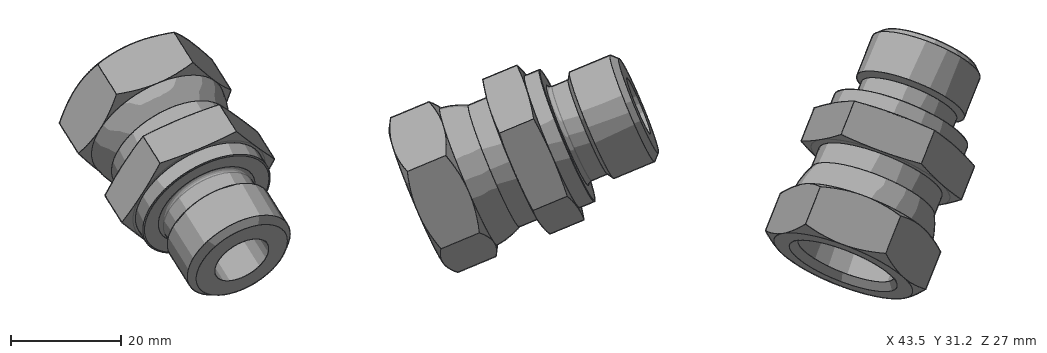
import cadquery as cq
import math


across_flats = 27.0
flat_radius = across_flats / 2
corner_radius = flat_radius / math.cos(math.radians(30))

nut_hex_length = 10.0
nut_shoulder_length = 5.0
nut_tail_radius = 12.0
nut_shoulder_arc_radius = 15.0
nut_corner_chamfer_angle = 30.0
nut_bore_radius = 9.35
nut_bore_depth = 8.7
nut_mouth_radius = 10.5
nut_mouth_depth = 1.4

shank_radius = 9.0
through_bore_radius = 5.5
nose_start = 7.6
nose_face_radius = 6.75
nose_length = 3.5
nose_arc_radius = 20.0

body_hex_start = 19.0
body_hex_length = 7.5
body_corner_chamfer_angle = 10.0
collar_radius = 13.0
collar_end = 29.5
collar_chamfer_length = 0.1
collar_chamfer_height = 0.3
undercut_radius = 9.3
undercut_fillet_length = 0.9
undercut_fillet_radius = 1.0
undercut_end = 33.55
stud_radius = 10.5
stud_start = 34.3
stud_chamfer = 1.2
stud_end = 43.5


def revolve_about_x(outline):
    """Revolve a closed outline drawn as (X, radius) about the X axis."""
    return outline.close().revolve(360, (0, 0, 0), (1, 0, 0))


def cylinder_along_x(start, end, radius):
    return cq.Workplane("YZ").workplane(offset=start).circle(radius).extrude(end - start)


def chamfered_hexagon(start, length, chamfer_angle):
    """Hexagonal prism with flats at +Z and -Z and its corners turned down at both ends."""
    end = start + length
    prism = cq.Workplane("YZ").workplane(offset=start).polygon(6, 2 * corner_radius).extrude(length)
    chamfer_length = (corner_radius - flat_radius) * math.tan(math.radians(chamfer_angle))
    envelope = revolve_about_x(
        cq.Workplane("XY")
        .moveTo(start, 0)
        .lineTo(start, flat_radius)
        .lineTo(start + chamfer_length, corner_radius)
        .lineTo(end - chamfer_length, corner_radius)
        .lineTo(end, flat_radius)
        .lineTo(end, 0)
    )
    return prism.intersect(envelope)


def arc_sag(start, end, radius):
    """Height of an arc above its chord."""
    half_chord = math.dist(start, end) / 2
    return radius - math.sqrt(radius**2 - half_chord**2)


def make_swivel_nut():
    shoulder_end = nut_hex_length + nut_shoulder_length
    shoulder_top = (nut_hex_length, flat_radius)
    shoulder_foot = (shoulder_end, nut_tail_radius)
    tail = revolve_about_x(
        cq.Workplane("XY")
        .moveTo(nut_hex_length, 0)
        .lineTo(*shoulder_top)
        .sagittaArc(shoulder_foot, arc_sag(shoulder_top, shoulder_foot, nut_shoulder_arc_radius))
        .lineTo(body_hex_start, nut_tail_radius)
        .lineTo(body_hex_start, 0)
    )
    bore = revolve_about_x(
        cq.Workplane("XY")
        .moveTo(0, 0)
        .lineTo(0, nut_mouth_radius)
        .lineTo(nut_mouth_depth, nut_bore_radius)
        .lineTo(nut_bore_depth, nut_bore_radius)
        .lineTo(nut_bore_depth, shank_radius)
        .lineTo(body_hex_start, shank_radius)
        .lineTo(body_hex_start, 0)
    )
    hexagon = chamfered_hexagon(0, nut_hex_length, nut_corner_chamfer_angle)
    return hexagon.union(tail).cut(bore)


def make_nose_and_shank():
    """Cylindrical shank ending in a bulging, nearly conical sealing nose."""
    nose_top = (nose_start, nose_face_radius)
    nose_foot = (nose_start + nose_length, shank_radius)
    return revolve_about_x(
        cq.Workplane("XY")
        .moveTo(nose_start, 0)
        .lineTo(*nose_top)
        .sagittaArc(nose_foot, arc_sag(nose_top, nose_foot, nose_arc_radius))
        .lineTo(body_hex_start, shank_radius)
        .lineTo(body_hex_start, 0)
    )


def make_collar_and_stud():
    """Sealing collar, filleted undercut and chamfered stud."""
    collar_start = body_hex_start + body_hex_length
    fillet_end = collar_end + undercut_fillet_length
    fillet_rise = undercut_fillet_radius - math.sqrt(undercut_fillet_radius**2 - undercut_fillet_length**2)
    fillet_top = (collar_end, undercut_radius + fillet_rise)
    fillet_foot = (fillet_end, undercut_radius)
    return revolve_about_x(
        cq.Workplane("XY")
        .moveTo(collar_start, 0)
        .lineTo(collar_start, collar_radius)
        .lineTo(collar_end - collar_chamfer_length, collar_radius)
        .lineTo(collar_end, collar_radius - collar_chamfer_height)
        .lineTo(*fillet_top)
        .sagittaArc(fillet_foot, -arc_sag(fillet_top, fillet_foot, undercut_fillet_radius))
        .lineTo(undercut_end, undercut_radius)
        .lineTo(stud_start, stud_radius)
        .lineTo(stud_end - stud_chamfer, stud_radius)
        .lineTo(stud_end, stud_radius - stud_chamfer)
        .lineTo(stud_end, 0)
    )


def make_adapter():
    hexagon = chamfered_hexagon(body_hex_start, body_hex_length, body_corner_chamfer_angle)
    through_bore = cylinder_along_x(nose_start, stud_end, through_bore_radius)
    return hexagon.union(make_nose_and_shank()).union(make_collar_and_stud()).cut(through_bore)


swivel_nut = make_swivel_nut()
adapter = make_adapter()

result = cq.Compound.makeCompound([swivel_nut.val(), adapter.val()])